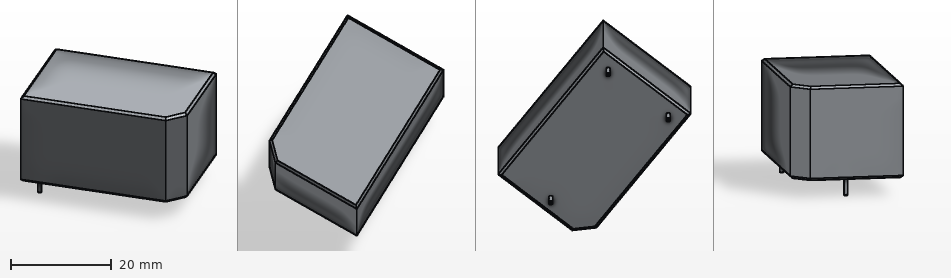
import cadquery as cq

body_length = 33.7
body_width = 22.2
body_height = 19.0
corner_cut = 3.37
edge_chamfer = 0.5

pin_diameter = 0.8
pin_length = 3.7
pin_tip_chamfer = 0.2
pin_column_spacing = 28.0
pin_row_spacing = 7.6

left_column_x = -pin_column_spacing / 2
right_column_x = pin_column_spacing / 2
pin_positions = [
    (left_column_x, -pin_row_spacing),
    (left_column_x, pin_row_spacing),
    (right_column_x, 0),
]


def make_body():
    """Box standing on z = 0, with the +X -Y corner cut and both rims chamfered."""
    box = cq.Workplane("XY").box(body_length, body_width, body_height, centered=(True, True, False))
    cut_box = box.edges("|Z and >X and <Y").chamfer(corner_cut)
    return cut_box.faces("<Z or >Z").edges().chamfer(edge_chamfer)


def make_pins():
    """Pins hanging from the underside, each with a chamfered tip."""
    pins = cq.Workplane("XY").pushPoints(pin_positions).circle(pin_diameter / 2).extrude(-pin_length)
    return pins.faces("<Z").edges().chamfer(pin_tip_chamfer)


result = make_body().union(make_pins())